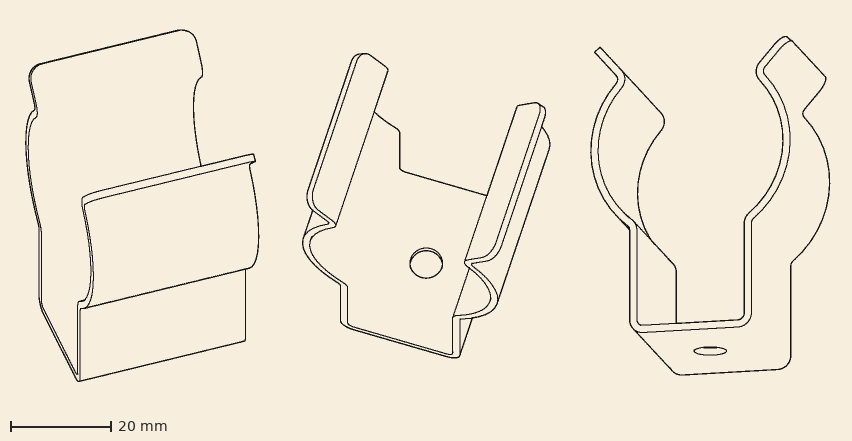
import cadquery as cq
import math

HEIGHT = 60.0
WIDTH = 40.85
DEPTH = 35.0
THICKNESS = 1.5
STEM_WIDTH = 24.95
JAW_CENTER_Z = 38.05
WAIST_GAP = 26.9
BEND_RADIUS = 1.25
LIP_ANGLE = 49.0
LIP_CORNER_RADIUS = 3.0
HOLE_DIAMETER = 6.5

half_sheet = THICKNESS / 2
jaw_radius = WIDTH / 2 - half_sheet
stem_x = STEM_WIDTH / 2 - half_sheet
bend = BEND_RADIUS + half_sheet

base_bend_center = (stem_x - bend, half_sheet + bend)
shoulder_x = stem_x + bend
waist_x = WAIST_GAP / 2 + half_sheet + bend
center_distance = jaw_radius + bend
jaw_center = (0, JAW_CENTER_Z)
shoulder_center = (shoulder_x, JAW_CENTER_Z - math.sqrt(center_distance**2 - shoulder_x**2))
waist_center = (waist_x, JAW_CENTER_Z + math.sqrt(center_distance**2 - waist_x**2))

shoulder_angle = -math.degrees(math.acos(shoulder_x / center_distance))
waist_angle = math.degrees(math.acos(waist_x / center_distance))

lip_rad = math.radians(LIP_ANGLE)
lip_start_angle = LIP_ANGLE + 90
lip_start_z = waist_center[1] + bend * math.sin(math.radians(lip_start_angle))
lip_tip_z = HEIGHT - half_sheet * math.cos(lip_rad)
lip_length = (lip_tip_z - lip_start_z) / math.sin(lip_rad)


def polar(center, radius, angle):
    """Point at an angle in degrees around a center."""
    radians = math.radians(angle)
    return (center[0] + radius * math.cos(radians), center[1] + radius * math.sin(radians))


def face_path(offset):
    """Return the lip tip and the (start, middle, end) arcs of one sheet face.

    A positive offset is the outside face; arcs run from the base to the lip.
    """
    bends = (
        (base_bend_center, bend + offset, -90, 0),
        (shoulder_center, bend - offset, 180, 180 + shoulder_angle),
        (jaw_center, jaw_radius + offset, shoulder_angle, waist_angle),
        (waist_center, bend - offset, 180 + waist_angle, lip_start_angle),
    )
    arcs = []
    for center, radius, start, end in bends:
        arcs.append([polar(center, radius, angle) for angle in (start, (start + end) / 2, end)])
    tip = polar(arcs[-1][-1], lip_length, LIP_ANGLE)
    return tip, arcs


def half_strip():
    """Right half of the bent strip, extruded symmetrically about Y = 0."""
    outer_tip, outer_arcs = face_path(half_sheet)
    inner_tip, inner_arcs = face_path(-half_sheet)
    inner_arcs_down = [arc[::-1] for arc in inner_arcs[::-1]]
    outer_base, *outer_side = outer_arcs
    *inner_side, inner_base = inner_arcs_down

    profile = cq.Workplane("XZ").lineTo(*outer_base[0]).threePointArc(*outer_base[1:])
    profile = profile.lineTo(*outer_side[0][0])
    for _, middle, end in outer_side:
        profile = profile.threePointArc(middle, end)
    profile = profile.lineTo(*outer_tip).lineTo(*inner_tip)
    profile = profile.lineTo(*inner_side[0][0])
    for _, middle, end in inner_side:
        profile = profile.threePointArc(middle, end)
    profile = profile.lineTo(*inner_base[0]).threePointArc(*inner_base[1:])
    profile = profile.lineTo(0, THICKNESS).close()
    return profile.extrude(DEPTH / 2, both=True)


def round_lip_corners(strip):
    """Round the two free corners at the end of the lip."""
    tip, _ = face_path(0)
    corners = [cq.Vector(tip[0], y, tip[1]) for y in (-DEPTH / 2, DEPTH / 2)]
    edges = [min(strip.edges().vals(), key=lambda edge: (edge.Center() - corner).Length) for corner in corners]
    return strip.newObject(edges).fillet(LIP_CORNER_RADIUS)


right_half = round_lip_corners(half_strip())
clip = right_half.union(right_half.mirror("YZ"))

hole = cq.Workplane("XY").circle(HOLE_DIAMETER / 2).extrude(THICKNESS)
result = clip.cut(hole)